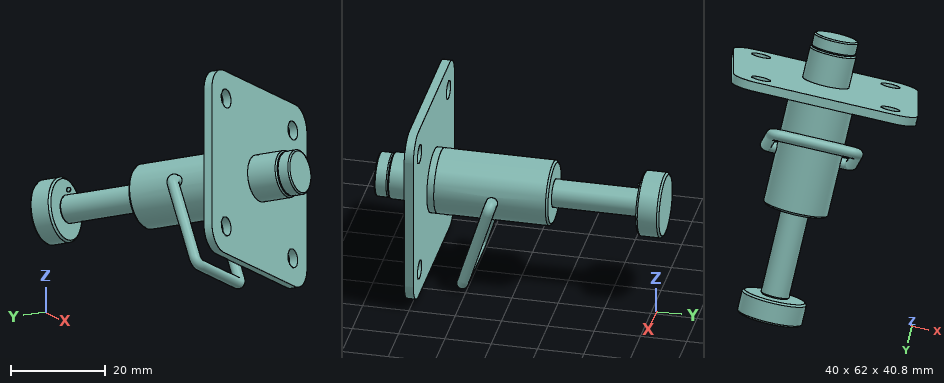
import cadquery as cq
import math


plate_side = 40.0
plate_thickness = 2.0
plate_corner_radius = 5.0
screw_hole_diameter = 4.0
screw_hole_spacing = 28.0

sleeve_radius = 7.0
sleeve_back_y = 28.0
sleeve_chamfer = 0.45
flange_thickness = 1.5
flange_back_y = plate_thickness + flange_thickness
nose_radius = 5.0
nose_length = 7.0
nose_chamfer = 0.3

rod_radius = 3.05
rod_chamfer = 0.3
tip_radius = 4.8
tip_length = 3.0
tip_chamfer = 0.3

overall_length = 62
knob_radius = 7.0
knob_length = 5.0
knob_chamfer = 0.45
knob_back_y = overall_length - nose_length - tip_length
knob_front_y = knob_back_y - knob_length

bail_wire_radius = 1.25
bail_outer_width = 21.0
bail_bend_radius = 1.5
bail_pivot_y = 16.05
bail_lowest_z = -20.8
bail_tilt_degrees = 17.3
bail_end_x = 5.0
bail_limb_x = bail_outer_width / 2 - bail_wire_radius
bail_drop = -bail_lowest_z - bail_wire_radius
bail_length = bail_drop / math.cos(math.radians(bail_tilt_degrees))

wire_radius = 0.5
wire_end_thickness = 0.1
wire_offset_z = 4.3


def rod_along_y(radius, start_y, end_y):
    """Cylinder on the plunger axis from start_y back to end_y."""
    profile = cq.Workplane("XZ", origin=(0, start_y, 0)).circle(radius)
    return profile.extrude(start_y - end_y)


def make_plate():
    plate = cq.Workplane("XZ").rect(plate_side, plate_side).extrude(-plate_thickness)
    plate = plate.edges("|Y").fillet(plate_corner_radius)
    screw_holes = (
        cq.Workplane("XZ")
        .rect(screw_hole_spacing, screw_hole_spacing, forConstruction=True)
        .vertices()
        .circle(screw_hole_diameter / 2)
        .extrude(-plate_thickness)
    )
    nose_hole = rod_along_y(nose_radius, 0, plate_thickness)
    return plate.cut(screw_holes).cut(nose_hole)


def make_sleeve():
    sleeve = rod_along_y(sleeve_radius, flange_back_y, sleeve_back_y)
    sleeve = sleeve.faces(">Y").edges().chamfer(sleeve_chamfer)
    sleeve = sleeve.cut(rod_along_y(rod_radius, flange_back_y, sleeve_back_y))
    for side in (-1, 1):
        pivot_hole = (
            cq.Workplane("YZ", origin=(side * bail_end_x, bail_pivot_y, 0))
            .circle(bail_wire_radius)
            .extrude(side * (sleeve_radius - bail_end_x))
        )
        sleeve = sleeve.cut(pivot_hole)
    return sleeve


def make_bushing():
    nose = rod_along_y(nose_radius, -nose_length, plate_thickness)
    nose = nose.faces("<Y").edges().chamfer(nose_chamfer)
    flange = rod_along_y(sleeve_radius, plate_thickness, flange_back_y)
    bore = rod_along_y(rod_radius, -nose_length, flange_back_y)
    return nose.union(flange).cut(bore)


def make_plunger():
    rod = rod_along_y(rod_radius, -nose_length, knob_front_y)
    rod = rod.faces(">Y").edges().chamfer(rod_chamfer)
    tip = rod_along_y(tip_radius, -nose_length - tip_length, -nose_length)
    tip = tip.edges().chamfer(tip_chamfer)
    return rod.union(tip)


def make_knob():
    knob = rod_along_y(knob_radius, knob_front_y, knob_back_y)
    return knob.edges().chamfer(knob_chamfer)


def make_bail():
    """Open wire loop, drawn hanging straight down and then tilted about its pivot."""
    bend_mid = bail_bend_radius * (1 - math.sqrt(0.5))
    straight_x = bail_limb_x - bail_bend_radius
    straight_bottom_z = bail_bend_radius - bail_length
    path = (
        cq.Workplane("XZ")
        .moveTo(-bail_end_x, 0)
        .lineTo(-straight_x, 0)
        .threePointArc((-bail_limb_x + bend_mid, -bend_mid), (-bail_limb_x, -bail_bend_radius))
        .lineTo(-bail_limb_x, straight_bottom_z)
        .threePointArc((-bail_limb_x + bend_mid, bend_mid - bail_length), (-straight_x, -bail_length))
        .lineTo(straight_x, -bail_length)
        .threePointArc((bail_limb_x - bend_mid, bend_mid - bail_length), (bail_limb_x, straight_bottom_z))
        .lineTo(bail_limb_x, -bail_bend_radius)
        .threePointArc((bail_limb_x - bend_mid, -bend_mid), (straight_x, 0))
        .lineTo(bail_end_x, 0)
    )
    bail = cq.Workplane("YZ", origin=(-bail_end_x, 0, 0)).circle(bail_wire_radius).sweep(path)
    bail = bail.rotate((0, 0, 0), (1, 0, 0), -bail_tilt_degrees)
    return bail.translate((0, bail_pivot_y, 0))


def make_spring_wire_end():
    wire_center = (0, knob_front_y - wire_radius, wire_offset_z)
    wire_end = cq.Workplane("YZ", origin=wire_center).circle(wire_radius)
    return wire_end.extrude(wire_end_thickness / 2, both=True)


plate = make_plate()
sleeve = make_sleeve()
bushing = make_bushing()
plunger = make_plunger()
knob = make_knob()
bail = make_bail()
spring_wire_end = make_spring_wire_end()

result = cq.Compound.makeCompound(
    [
        plate.val(),
        sleeve.val(),
        bushing.val(),
        plunger.val(),
        knob.val(),
        bail.val(),
        spring_wire_end.val(),
    ]
)